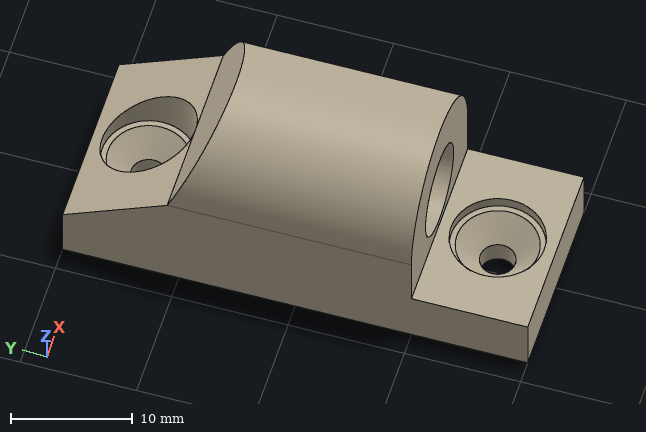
import cadquery as cq

width = 16.0
length = 40.0
barrel_radius = width / 2
axis_height = 9.7
top_height = axis_height + barrel_radius

front_flange_height = 5.0
back_edge_height = axis_height / 2
front_flange_length = 10.0
ramp_length = 9.0
crest_setback = 12.5

bore_diameter = 8.0
bore_depth = 15.0

screw_inset = 5.0
screw_diameter = 3.0
countersink_diameter = 7.0
countersink_depth = (countersink_diameter - screw_diameter) / 2
recess_diameter = 8.0
recess_floor_height = 4.0

front_y = -length / 2
back_y = length / 2
barrel_front_y = front_y + front_flange_length


def side_profile():
    """Side outline extruded across the width."""
    return (
        cq.Workplane("YZ")
        .moveTo(front_y, 0)
        .lineTo(back_y, 0)
        .lineTo(back_y, back_edge_height)
        .lineTo(back_y - ramp_length, axis_height)
        .lineTo(back_y - crest_setback, top_height)
        .lineTo(barrel_front_y, top_height)
        .lineTo(barrel_front_y, front_flange_height)
        .lineTo(front_y, front_flange_height)
        .close()
        .extrude(width / 2, both=True)
    )


def arched_envelope():
    """Round-topped section running the full length."""
    return (
        cq.Workplane("XZ")
        .moveTo(-width / 2, 0)
        .lineTo(width / 2, 0)
        .lineTo(width / 2, axis_height)
        .threePointArc((0, top_height), (-width / 2, axis_height))
        .close()
        .extrude(length / 2, both=True)
    )


def barrel_bore():
    """Blind bore entering from the front face of the barrel."""
    return (
        cq.Workplane("XZ", origin=(0, barrel_front_y, axis_height))
        .circle(bore_diameter / 2)
        .extrude(-bore_depth)
    )


def screw_hole(y):
    """Countersunk screw hole with a head recess open to the top."""
    countersink_floor = recess_floor_height - countersink_depth
    return (
        cq.Workplane("XZ", origin=(0, y, 0))
        .moveTo(0, 0)
        .lineTo(screw_diameter / 2, 0)
        .lineTo(screw_diameter / 2, countersink_floor)
        .lineTo(countersink_diameter / 2, recess_floor_height)
        .lineTo(recess_diameter / 2, recess_floor_height)
        .lineTo(recess_diameter / 2, axis_height)
        .lineTo(0, axis_height)
        .close()
        .revolve(360, (0, 0, 0), (0, 1, 0))
    )


result = side_profile().intersect(arched_envelope()).cut(barrel_bore())
for hole_y in (front_y + screw_inset, back_y - screw_inset):
    result = result.cut(screw_hole(hole_y))